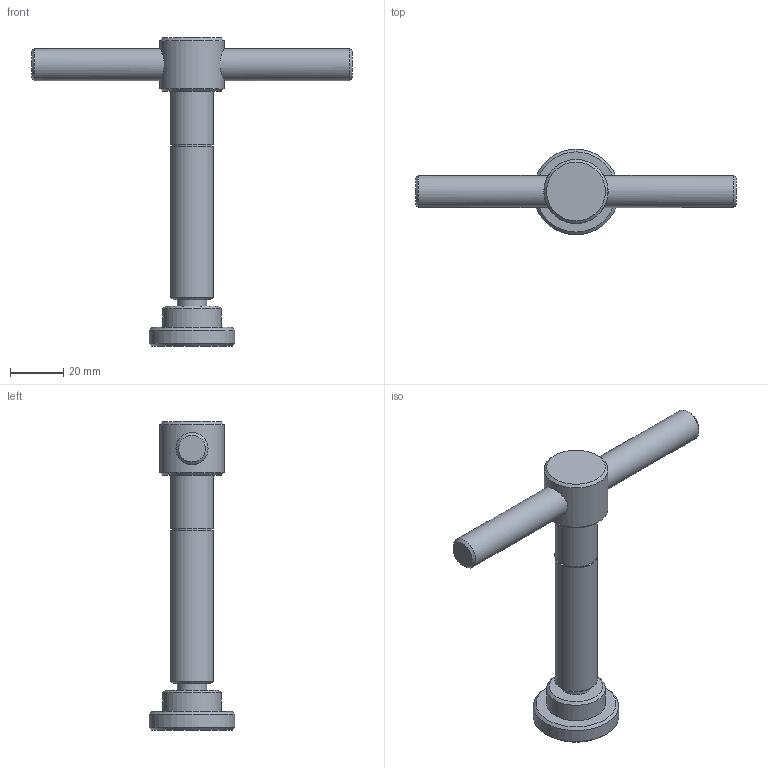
import cadquery as cq

TOTAL_HEIGHT = 115.3

HANDLE_LENGTH = 120.0
HANDLE_DIAMETER = 12.0

HEAD_DIAMETER = 24.0
HEAD_HEIGHT = 20.0

SHAFT_DIAMETER = 16.0
SHAFT_LENGTH = 78.0
UPPER_SHAFT_LENGTH = 20.0
GROOVE_WIDTH = 0.5
GROOVE_DEPTH = 0.5

NECK_DIAMETER = 11.0
COLLAR_DIAMETER = 22.0
COLLAR_HEIGHT = 8.0
FLANGE_DIAMETER = 32.0
FLANGE_HEIGHT = 7.0

EDGE_CHAMFER = 1.0

collar_top = FLANGE_HEIGHT + COLLAR_HEIGHT
head_bottom = TOTAL_HEIGHT - HEAD_HEIGHT
shaft_bottom = head_bottom - SHAFT_LENGTH
groove_top = head_bottom - UPPER_SHAFT_LENGTH
handle_level = head_bottom + HEAD_HEIGHT / 2


def upright_cylinder(diameter, bottom, top):
    """Cylinder on the Z axis between two levels."""
    return cq.Workplane("XY").workplane(offset=bottom).circle(diameter / 2).extrude(top - bottom)


def make_foot():
    """Flange and collar, chamfered on their outer edges."""
    flange = upright_cylinder(FLANGE_DIAMETER, 0, FLANGE_HEIGHT).faces("<Z or >Z").chamfer(EDGE_CHAMFER)
    collar = upright_cylinder(COLLAR_DIAMETER, 0, collar_top).faces(">Z").chamfer(EDGE_CHAMFER)
    return flange.union(collar)


def make_shaft():
    """Shaft with a chamfered lower end and a fine square groove around it."""
    shaft = upright_cylinder(SHAFT_DIAMETER, shaft_bottom, head_bottom).faces("<Z").chamfer(EDGE_CHAMFER)
    groove_bottom = groove_top - GROOVE_WIDTH
    groove_stock = upright_cylinder(SHAFT_DIAMETER, groove_bottom, groove_top)
    groove_floor = upright_cylinder(SHAFT_DIAMETER - 2 * GROOVE_DEPTH, groove_bottom, groove_top)
    return shaft.cut(groove_stock.cut(groove_floor))


def make_head():
    """Cylindrical head, chamfered at both ends."""
    return upright_cylinder(HEAD_DIAMETER, head_bottom, TOTAL_HEIGHT).faces("<Z or >Z").chamfer(EDGE_CHAMFER)


def make_handle():
    """Round bar along X through the head, chamfered at both ends."""
    return (
        cq.Workplane("YZ")
        .center(0, handle_level)
        .circle(HANDLE_DIAMETER / 2)
        .extrude(HANDLE_LENGTH / 2, both=True)
        .faces("<X or >X")
        .chamfer(EDGE_CHAMFER)
    )


neck = upright_cylinder(NECK_DIAMETER, collar_top, shaft_bottom)

result = make_foot().union(neck).union(make_shaft()).union(make_head()).union(make_handle())